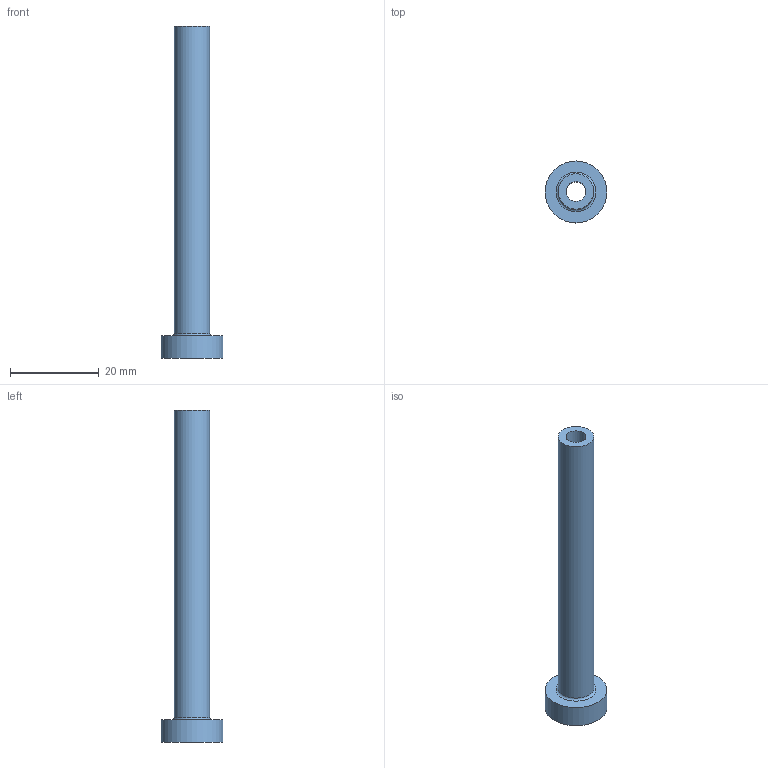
import cadquery as cq

total_length = 75.0
head_diameter = 14.0
head_height = 5.0
shaft_diameter = 8.0
bore_diameter = 4.5
neck_fillet_radius = 0.5


def make_head():
    """Round head with its lower face on Z = 0."""
    return cq.Workplane("XY").circle(head_diameter / 2).extrude(head_height)


def make_shaft():
    """Round shaft running from the bottom of the head to the tip."""
    return cq.Workplane("XY").circle(shaft_diameter / 2).extrude(total_length)


def fillet_neck(body):
    """Round the inside corner where the shaft meets the top of the head."""
    neck_edge = body.faces(cq.selectors.NearestToPointSelector((0, 0, head_height)))
    return neck_edge.edges(cq.selectors.RadiusNthSelector(0)).fillet(neck_fillet_radius)


def make_bore():
    """Through hole along the whole axis."""
    return cq.Workplane("XY").circle(bore_diameter / 2).extrude(total_length)


result = fillet_neck(make_head().union(make_shaft())).cut(make_bore())